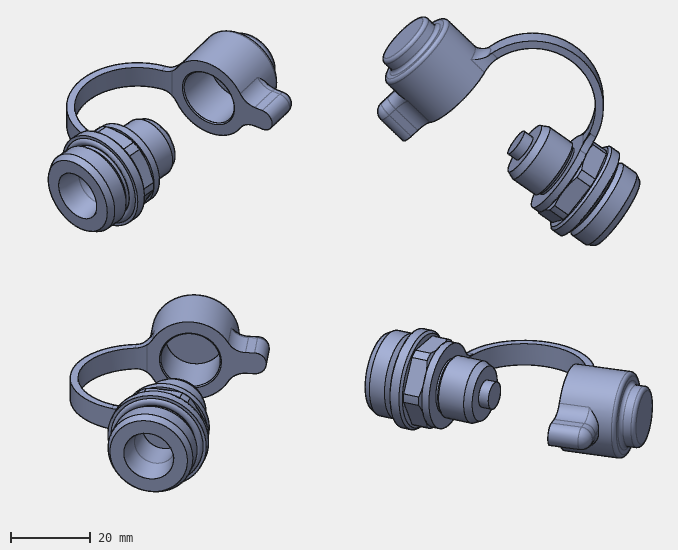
import cadquery as cq
import math


thread_radius = 22.0 / 2
thread_tip_radius = 10.0
thread_tip_chamfer = 1.7
thread_end = 5.95
neck_radius = 9.9
neck_start = 7.2
flange_radius = 12.75
flange_start = 8.4
flange_end = 11.55
flange_chamfer = 0.65
seal_section_radius = 1.0
seal_ring_radius = 11.0
seal_recess = 0.2
seal_centre = flange_start + seal_recess

bore_mouth_radius = 6.45
bore_radius = 5.3
bore_taper_depth = 6.3
bore_depth = 14.35

hex_across_flats = 20.9
hex_corner_radius = 11.5
hex_end = 16.4
hex_chamfer_height = 0.65
hex_chamfer_width = 1.15

nose_radius = 16.0 / 2
nose_end_radius = 7.1
nose_groove_end = 18.9
nose_start = 19.65
nose_shoulder = 26.7
nose_end = 28.6
pin_radius = 3.5
pin_end = 31.3

hub_radius = thread_radius
strap_half_width = 5.95 / 2
strap_thickness = 2.0
strap_inner_radius = 15.8
strap_offset = 10.8
cap_strap_offset = hub_radius
blend_radius = 5.0
strap_fillet = 3.0

cap_tilt = 9.0
cap_height = 15.2
cap_fillet = 1.0
cap_bore_radius = 15.0 / 2
cap_bore_chamfer = 0.32
cap_bore_depth = 12.2
knob_radius = 7.8
knob_height = 19.35
knob_fillet = 1.0
knob_root_fillet = 1.0
tab_reach = 19.15
tab_height = 10.8
tab_fillet = 2.9

ring_end = hex_end + strap_thickness
strap_outer_radius = strap_inner_radius + strap_thickness
strap_centre_x = -strap_offset
strap_centre_y = ring_end + strap_inner_radius

tilt = math.radians(cap_tilt)
cap_x = strap_centre_x - strap_inner_radius * math.sin(tilt) + cap_strap_offset * math.cos(tilt)
cap_y = strap_centre_y + strap_inner_radius * math.cos(tilt) + cap_strap_offset * math.sin(tilt)

blend_centre_z = strap_half_width + blend_radius
blend_reach = math.sqrt((hub_radius + blend_radius) ** 2 - blend_centre_z**2)
touch_ratio = hub_radius / (hub_radius + blend_radius)
touch_x = blend_reach * touch_ratio
touch_z = blend_centre_z * touch_ratio
blend_mid_angle = (math.atan2(-blend_centre_z, -blend_reach) - math.pi / 2) / 2
blend_mid_x = blend_reach + blend_radius * math.cos(blend_mid_angle)
blend_mid_z = blend_centre_z + blend_radius * math.sin(blend_mid_angle)


def disc(radius, start, end):
    """Cylinder on the Y axis between two places."""
    return cq.Workplane("XZ", origin=(0, start, 0)).circle(radius).extrude(start - end)


def revolved(points):
    """Solid of revolution about Y from (radius, Y) points that start and end on the axis."""
    return cq.Workplane("XY").polyline(points).close().revolve(360, (0, 0, 0), (0, 1, 0))


def on_cap(x, y):
    """Place of a cap point once the cap is tilted and moved."""
    return (
        cap_x + x * math.cos(tilt) - y * math.sin(tilt),
        cap_y + x * math.sin(tilt) + y * math.cos(tilt),
    )


def flared_root(side, start, end):
    """Root of an arm that flares into the hub circle; side is +1 for +X, -1 for -X."""
    return (
        cq.Workplane("XZ", origin=(0, start, 0))
        .moveTo(side * touch_x, touch_z)
        .threePointArc((side * blend_mid_x, blend_mid_z), (side * blend_reach, strap_half_width))
        .lineTo(side * blend_reach, -strap_half_width)
        .threePointArc((side * blend_mid_x, -blend_mid_z), (side * touch_x, -touch_z))
        .close()
        .extrude(start - end)
    )


def placed_on_cap(shape):
    """Shape made about the cap's own axis, tilted and moved with the cap."""
    return shape.rotate((0, 0, 0), (0, 0, 1), cap_tilt).translate((cap_x, cap_y, 0))


def make_hexagon():
    hexagon = (
        cq.Workplane("XZ", origin=(0, flange_end, 0))
        .polygon(6, hex_across_flats / math.cos(math.pi / 6))
        .extrude(flange_end - hex_end)
    )
    envelope = revolved([
        (0, flange_end),
        (hex_corner_radius, flange_end),
        (hex_corner_radius, hex_end - hex_chamfer_height),
        (hex_corner_radius - hex_chamfer_width, hex_end),
        (0, hex_end),
    ])
    return hexagon.intersect(envelope)


def make_fitting():
    base = revolved([
        (0, 0),
        (thread_tip_radius, 0),
        (thread_radius, thread_tip_chamfer),
        (thread_radius, thread_end),
        (neck_radius, neck_start),
        (neck_radius, flange_start),
        (flange_radius, flange_start),
        (flange_radius, flange_end - flange_chamfer),
        (flange_radius - flange_chamfer, flange_end),
        (0, flange_end),
    ])
    seal = (
        cq.Workplane("XY")
        .center(seal_ring_radius, seal_centre)
        .circle(seal_section_radius)
        .revolve(360, (-seal_ring_radius, 0, 0), (-seal_ring_radius, 1, 0))
    )
    nose = revolved([
        (0, hex_end),
        (nose_end_radius, hex_end),
        (nose_end_radius, nose_groove_end),
        (nose_radius, nose_start),
        (nose_radius, nose_shoulder),
        (nose_end_radius, nose_end),
        (pin_radius, nose_end),
        (pin_radius, pin_end),
        (0, pin_end),
    ])
    bore = revolved([
        (0, 0),
        (bore_mouth_radius, 0),
        (bore_radius, bore_taper_depth),
        (bore_radius, bore_depth),
        (0, bore_depth),
    ])
    ring = disc(hub_radius, hex_end, ring_end)
    return base.union(seal).union(make_hexagon()).union(nose).union(ring).cut(bore)


def make_tab():
    """Finger tab on the +X side of the cap, with its upper edge rounded over."""
    end_centre_x = tab_reach - strap_half_width
    tab = (
        cq.Workplane("XZ")
        .moveTo(touch_x, touch_z)
        .threePointArc((blend_mid_x, blend_mid_z), (blend_reach, strap_half_width))
        .lineTo(end_centre_x, strap_half_width)
        .threePointArc((tab_reach, 0), (end_centre_x, -strap_half_width))
        .lineTo(blend_reach, -strap_half_width)
        .threePointArc((blend_mid_x, -blend_mid_z), (touch_x, -touch_z))
        .close()
        .extrude(-tab_height)
    )
    return tab.faces(">Y").edges("not <X").fillet(tab_fillet)


def make_knob_root():
    """Concave flare between the cap's shoulder and its knob."""
    fillet_centre_x = knob_radius + knob_root_fillet
    fillet_centre_y = cap_height + knob_root_fillet
    fillet_mid = knob_root_fillet * math.sqrt(0.5)
    return (
        cq.Workplane("XY")
        .moveTo(0, cap_height)
        .lineTo(fillet_centre_x, cap_height)
        .threePointArc(
            (fillet_centre_x - fillet_mid, fillet_centre_y - fillet_mid),
            (knob_radius, fillet_centre_y),
        )
        .lineTo(0, fillet_centre_y)
        .close()
        .revolve(360, (0, 0, 0), (0, 1, 0))
    )


def make_cap():
    shell = disc(hub_radius, 0, cap_height).faces(">Y").edges().fillet(cap_fillet)
    knob_root = make_knob_root()
    knob = disc(knob_radius, 0, knob_height).faces(">Y").edges().fillet(knob_fillet)
    bore = disc(cap_bore_radius, 0, cap_bore_depth)
    bore_chamfer = revolved([
        (0, 0),
        (cap_bore_radius + cap_bore_chamfer, 0),
        (cap_bore_radius, cap_bore_chamfer),
        (0, cap_bore_chamfer),
    ])
    return shell.union(knob).union(knob_root).union(make_tab()).cut(bore).cut(bore_chamfer)


def make_band(half_width):
    """Curved strip from the retaining ring round to the mouth of the cap."""
    half_turn = (math.radians(90 + cap_tilt) + math.radians(270)) / 2

    def arc_middle(radius):
        return (
            strap_centre_x + radius * math.cos(half_turn),
            strap_centre_y + radius * math.sin(half_turn),
        )

    return (
        cq.Workplane("XY", origin=(0, 0, -half_width))
        .moveTo(-touch_x, hex_end)
        .lineTo(strap_centre_x, hex_end)
        .threePointArc(arc_middle(strap_outer_radius), on_cap(-cap_strap_offset, strap_thickness))
        .lineTo(*on_cap(-touch_x, strap_thickness))
        .lineTo(*on_cap(-touch_x, 0))
        .lineTo(*on_cap(-cap_strap_offset, 0))
        .threePointArc(arc_middle(strap_inner_radius), (strap_centre_x, ring_end))
        .lineTo(-touch_x, ring_end)
        .close()
        .extrude(2 * half_width)
    )


def make_fillet_collar():
    """Collar round the cap, concave from the strap's outer face up into the cap wall."""
    centre_x = -hub_radius - strap_fillet
    run = -cap_strap_offset - centre_x
    reach = strap_outer_radius + strap_fillet
    rise = math.sqrt(reach**2 - run**2)
    centre_y = rise - strap_inner_radius
    foot_x = centre_x + strap_fillet * run / reach
    foot_y = centre_y - strap_fillet * rise / reach
    mid_angle = math.atan2(-rise, run) / 2
    mid_x = centre_x + strap_fillet * math.cos(mid_angle)
    mid_y = centre_y + strap_fillet * math.sin(mid_angle)
    return (
        cq.Workplane("XY")
        .moveTo(foot_x, foot_y)
        .threePointArc((mid_x, mid_y), (-hub_radius, centre_y))
        .lineTo(-touch_x, centre_y)
        .lineTo(-touch_x, foot_y - strap_thickness / 2)
        .lineTo(foot_x, foot_y - strap_thickness / 2)
        .close()
        .revolve(360, (0, 0, 0), (0, 1, 0))
    )


def make_strap():
    wide_band = make_band(touch_z)
    ring_root = wide_band.intersect(flared_root(-1, hex_end, ring_end))
    root_prism = flared_root(-1, -strap_thickness, cap_height)
    cap_root = wide_band.intersect(placed_on_cap(root_prism))
    cap_fillet_root = placed_on_cap(root_prism.intersect(make_fillet_collar()))
    return make_band(strap_half_width).union(ring_root).union(cap_root).union(cap_fillet_root)


result = make_fitting().union(make_strap()).union(placed_on_cap(make_cap()))